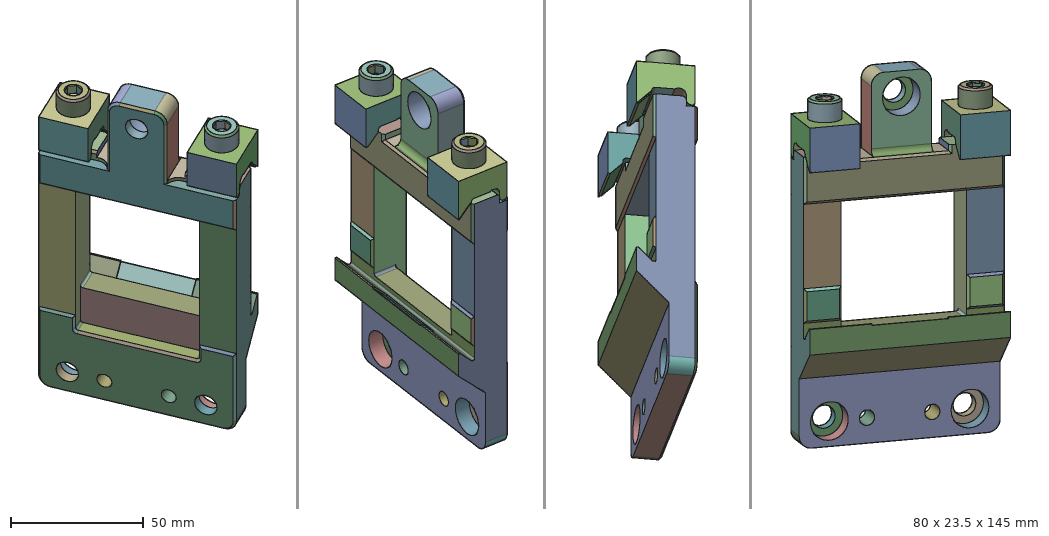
import cadquery as cq
import math


selection_margin = 0.1

width = 80.0
half_width = width / 2
depth = 23.5
pad_height = 1.0
rail_front = pad_height
rail_back = 16.0
pad_back = rail_back + pad_height
plate_back = 11.0
frame_top = 115.5
corner_radius = 5.0

window_half_width = 25.0
window_top = 97.0
wall_top = 47.2
recess_floor = 30.5
recess_depth = 6.0
window_corner_radius = 1.0

lower_pad_top = 37.5
rear_pad_bottom = 50.5
rear_pad_top = 64.0

hook_top = 50.0
hook_bottom = 40.0
hook_tip_width = 0.75
groove_root_width = 1.3
groove_radius = 0.8
hook_relief_half_width = 15.25
hook_relief = 1.0
hook_crest = 49.5

tab_half_width = 12.0
tab_back = 13.0
tab_top = 145.0
tab_root_radius = 2.5
tab_hole_z = 135.0

saddle_half_width = 17.8
saddle_z = 113.0
ledge_z = 111.5
ledge_back = 4.4
ledge_corner_radius = 5.0
front_rim_chamfer = 1.0

large_hole_diameter = 9.0
small_hole_diameter = 6.0
counterbore_diameter = 15.0
counterbore_floor = 4.5
hole_z = 10.0
large_hole_x = 28.0
small_hole_x = 13.0

clamp_width = 20.0
clamp_top = 128.7
clamp_leg_bottom = 112.0
clamp_leg_chamfer = 0.8
clamp_leg_radius = 2.0
clamp_roof = 118.2
clamp_relief_radius = 2.8
clamp_relief_z = 115.9
clamp_relief_centre_y = ledge_back + clamp_relief_radius
clamp_tip_bottom = 111.2
clamp_tip_width = 1.0
clamp_lip = 17.6
clamp_lip_radius = 1.3
clamp_end_relief = 0.7

screw_x = 30.0
screw_y = 11.5
screw_diameter = 8.0
screw_clearance = 8.6
screw_length = 35.0
head_diameter = 13.0
head_height = 8.0
head_chamfer = 0.8
socket_flats = 6.0
socket_depth = 4.0
socket_cone_angle = 120.0
socket_turn = 30.0


def block(x0, x1, y0, y1, z0, z1):
    """Box between two opposite corners."""
    return cq.Workplane("XY").box(x1 - x0, y1 - y0, z1 - z0, centered=False).translate((x0, y0, z0))


def edges_near(y0, y1, z):
    """Selector for edges centred at height z between y0 and y1, at any X."""
    low = (-width, y0 - selection_margin, z - selection_margin)
    high = (width, y1 + selection_margin, z + selection_margin)
    return cq.selectors.BoxSelector(low, high)


def side_profile(x_start):
    """Sketch plane for YZ outlines, extruding along +X from x_start."""
    return cq.Workplane("YZ", origin=(x_start, 0, 0))


def drill(x, z, diameter, front=0):
    """Cylinder along Y from the given distance behind the front face to the back."""
    return cq.Workplane("XZ", origin=(x, depth, z)).circle(diameter / 2).extrude(depth - front)


def counterbored_hole(x, z):
    """Large hole with its counterbore opening to the back."""
    return drill(x, z, large_hole_diameter).union(drill(x, z, counterbore_diameter, counterbore_floor))


def make_rails():
    """Side profile of plate, rails and hook over the full width."""
    tip_y = depth - hook_tip_width
    root_y = rail_back + groove_root_width
    root_z = hook_top - (tip_y - root_y)
    points = [
        (rail_front, 0),
        (plate_back, 0),
        (plate_back, hook_bottom - (depth - plate_back)),
        (depth, hook_bottom),
        (depth, hook_top),
        (tip_y, hook_top),
        (root_y, root_z),
        (rail_back, root_z),
        (rail_back, frame_top),
        (rail_front, frame_top),
    ]
    rails = side_profile(-half_width).polyline(points).close().extrude(width)
    root_edges = edges_near(rail_back, root_y, root_z)
    rails = rails.edges("|X").edges(root_edges).fillet(groove_radius)

    relief_points = [
        (root_y, root_z),
        (tip_y, hook_top),
        (depth, hook_top),
        (depth, hook_crest),
        (root_y + hook_crest - root_z + hook_relief, hook_crest),
        (root_y, root_z - hook_relief),
    ]
    relief = side_profile(-hook_relief_half_width).polyline(relief_points).close()
    rails = rails.cut(relief.extrude(2 * hook_relief_half_width))
    return rails.edges("|Y and <Z").fillet(corner_radius)


def make_lower_pad():
    """Front pad on the bottom plate, notched by the window recess."""
    pad = block(-half_width, half_width, 0, 2 * pad_height, 0, lower_pad_top)
    pad = pad.edges("|Y and <Z").fillet(corner_radius)
    notch = block(-window_half_width, window_half_width, 0, depth, recess_floor, frame_top)
    notch = notch.edges("|Y and <Z").fillet(window_corner_radius)
    return pad.cut(notch).faces("<Y").chamfer(pad_height)


def make_upper_pad():
    """Front pad above the window, running up to the clamp ledges."""
    pad = block(-half_width, half_width, 0, 2 * pad_height, window_top, frame_top)
    pad = pad.faces("<Y").chamfer(pad_height)
    return pad.intersect(block(-half_width, half_width, 0, depth, window_top, ledge_z))


def make_rear_upper_pad():
    """Back pad above the window, chamfered along the saddle as well."""
    pad = block(-half_width, half_width, rail_back - pad_height, pad_back, window_top, 2 * frame_top)
    saddle = block(-saddle_half_width, saddle_half_width, 0, depth, saddle_z, 2 * frame_top)
    pad = pad.cut(saddle).faces(">Y").chamfer(pad_height)
    return pad.intersect(block(-half_width, half_width, 0, depth, window_top, frame_top))


def make_rear_lower_pad():
    """Low back pad on the +X rail, above the hook groove."""
    pad = block(
        window_half_width, half_width, rail_back - pad_height, pad_back, rear_pad_bottom, rear_pad_top
    )
    return pad.faces(">Y").chamfer(pad_height)


def make_tab():
    """Hanging tab with a rounded top and a fillet at its back root."""
    tab = block(-tab_half_width, tab_half_width, 0, tab_back, window_top, tab_top)
    tab = tab.edges("|Y and >Z").fillet(corner_radius)
    tab = tab.faces("<Y").chamfer(pad_height)
    tab = tab.cut(block(-half_width, half_width, 0, depth, window_top, ledge_z))
    root = (
        side_profile(-tab_half_width)
        .moveTo(tab_back, saddle_z)
        .lineTo(tab_back + tab_root_radius, saddle_z)
        .radiusArc((tab_back, saddle_z + tab_root_radius), tab_root_radius)
        .close()
        .extrude(2 * tab_half_width)
    )
    return tab.union(root)


def make_window_cut():
    """Window through the plate and the shallower recess in front of its lower wall."""
    opening = block(-window_half_width, window_half_width, 0, rail_back, wall_top, window_top)
    recess = block(-window_half_width, window_half_width, 0, recess_depth, recess_floor, window_top)
    opening = opening.edges("|Y and <Z").fillet(window_corner_radius)
    recess = recess.edges("|Y and <Z").fillet(window_corner_radius)
    return opening.union(recess)


def make_ledge_cut():
    """Seat for one clamp leg on the +X side, its inner corner rounded."""
    cut = block(tab_half_width, half_width, -depth, ledge_back, ledge_z, tab_top)
    return cut.edges("|Z and >Y and <X").fillet(ledge_corner_radius)


def make_frame():
    """Plate, rails, hook and tab as one body, with all its openings."""
    frame = make_rails()
    frame = frame.union(make_lower_pad()).union(make_upper_pad())
    rear_lower_pad = make_rear_lower_pad()
    frame = frame.union(make_rear_upper_pad())
    frame = frame.union(rear_lower_pad).union(rear_lower_pad.mirror("YZ"))
    saddle = block(-saddle_half_width, saddle_half_width, 0, depth, saddle_z, frame_top)
    frame = frame.cut(saddle).cut(make_window_cut())

    ledge = make_ledge_cut()
    frame = frame.cut(ledge).cut(ledge.mirror("YZ"))
    front_rim = edges_near(ledge_back, ledge_back, frame_top)
    frame = frame.edges(front_rim).chamfer(front_rim_chamfer)
    frame = frame.union(make_tab())

    frame = frame.cut(counterbored_hole(0, tab_hole_z))
    for side in (-1, 1):
        frame = frame.cut(counterbored_hole(side * large_hole_x, hole_z))
        frame = frame.cut(drill(side * small_hole_x, hole_z, small_hole_diameter))
        frame = frame.cut(screw_shank(side))
    return frame


def clamp_profile(x_start, length, setback):
    """Clamp cross-section; setback moves the sloped face toward the back."""
    roof_y = clamp_relief_centre_y + math.sqrt(clamp_relief_radius**2 - (clamp_roof - clamp_relief_z) ** 2)
    slope_y = depth - clamp_tip_width + setback
    return (
        side_profile(x_start)
        .moveTo(pad_height, clamp_leg_bottom + clamp_leg_chamfer)
        .lineTo(pad_height + clamp_leg_chamfer, clamp_leg_bottom)
        .lineTo(ledge_back - clamp_leg_radius, clamp_leg_bottom)
        .radiusArc((ledge_back, clamp_leg_bottom + clamp_leg_radius), -clamp_leg_radius)
        .lineTo(ledge_back, clamp_relief_z)
        .threePointArc(
            (clamp_relief_centre_y, clamp_relief_z + clamp_relief_radius), (roof_y, clamp_roof)
        )
        .lineTo(clamp_lip - clamp_lip_radius, clamp_roof)
        .radiusArc((clamp_lip, clamp_roof - clamp_lip_radius), clamp_lip_radius)
        .lineTo(clamp_lip, clamp_tip_bottom + slope_y - clamp_lip)
        .lineTo(slope_y, clamp_tip_bottom)
        .lineTo(depth, clamp_tip_bottom)
        .lineTo(depth, clamp_top)
        .lineTo(pad_height, clamp_top)
        .close()
        .extrude(length)
    )


def make_clamp(side):
    """Clamp block on one side (+1 or -1), with its screw hole."""
    inner = half_width - clamp_width
    clamp = clamp_profile(inner, clamp_width - clamp_end_relief, 0)
    clamp = clamp.union(clamp_profile(half_width - clamp_end_relief, clamp_end_relief, clamp_end_relief))
    hole = cq.Workplane("XY").center(screw_x, screw_y).circle(screw_clearance / 2).extrude(clamp_top)
    clamp = clamp.cut(hole)
    return clamp if side > 0 else clamp.mirror("YZ")


def screw_shank(side):
    """Plain shank of one screw, also the shape of its hole in the frame."""
    shank = cq.Workplane("XY", origin=(side * screw_x, screw_y, clamp_top - screw_length))
    return shank.circle(screw_diameter / 2).extrude(screw_length)


def cone_down(side, base_z, radius, height):
    """Cone on a screw axis, with its base at base_z and its tip below."""
    tip = cq.Vector(side * screw_x, screw_y, base_z - height)
    return cq.Workplane(cq.Solid.makeCone(0, radius, height, tip))


def make_screw(side):
    """Socket head screw on a clamp; hexagon socket with a drill cone and a countersunk rim."""
    head = cq.Workplane("XY", origin=(side * screw_x, screw_y, clamp_top))
    head = head.circle(head_diameter / 2).extrude(head_height)
    head = head.faces(">Z").chamfer(head_chamfer)

    head_top = clamp_top + head_height
    socket_floor = head_top - socket_depth
    socket_corner_radius = socket_flats / 2 / math.cos(math.pi / 6)
    socket = cq.Workplane("XY", origin=(side * screw_x, screw_y, socket_floor))
    socket = socket.transformed(rotate=(0, 0, socket_turn)).polygon(6, 2 * socket_corner_radius)
    socket = socket.extrude(socket_depth)

    cone_height = socket_flats / 2 / math.tan(math.radians(socket_cone_angle / 2))
    screw = screw_shank(side).union(head).cut(socket)
    screw = screw.cut(cone_down(side, socket_floor, socket_flats / 2, cone_height))
    return screw.cut(cone_down(side, head_top, socket_corner_radius, socket_corner_radius))


frame = make_frame()
clamps = [make_clamp(side) for side in (-1, 1)]
screws = [make_screw(side) for side in (-1, 1)]

result = cq.Compound.makeCompound(
    [frame.val()] + [clamp.val() for clamp in clamps] + [screw.val() for screw in screws]
)